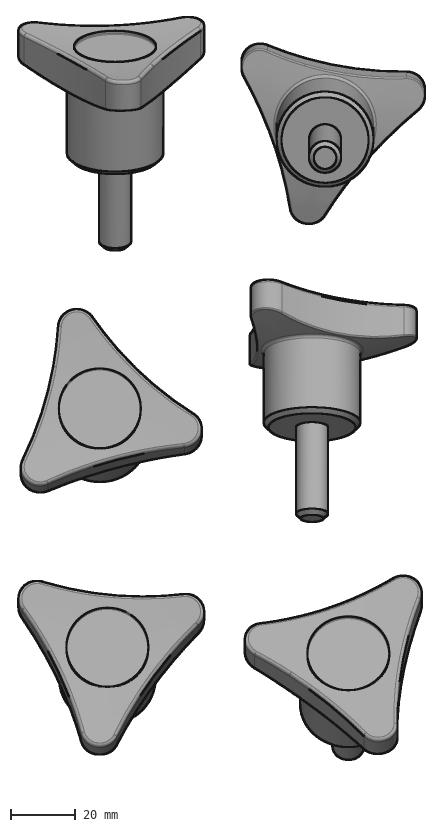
import cadquery as cq
import math

total_height = 68.7
stud_diameter = 10.0
stud_length = 29.8
stud_chamfer = 1.5

hub_diameter = 30.0
hub_chamfer = 1.5
neck_fillet = 1.0

lobe_count = 3
lobe_center_radius = 26.6
lobe_radius = 5.9
waist_distance = 17.05
tip_radius = lobe_center_radius + lobe_radius

dish_depth = 1.85
dish_tip_height = total_height + 0.15
rim_tip_height = 9.95
underside_center_height = 53.85
rim_fillet = 1.0
lower_rim_fillet = 0.55

recess_diameter = 25.4
recess_floor = 65.95
recess_edge_fillet = 0.2


def polar(radius, angle):
    """Point in the XY plane at an angle in degrees from +X."""
    return radius * math.cos(math.radians(angle)), radius * math.sin(math.radians(angle))


def cap_radius(rise, half_chord):
    """Radius of a spherical cap with the given rise and half chord."""
    return (half_chord**2 + rise**2) / (2 * rise)


def head_outline():
    """Lobes joined by concave flanks that are tangent to them."""
    half_step = 180 / lobe_count
    lobe_x = lobe_center_radius * math.sin(math.radians(half_step))
    lobe_y = lobe_center_radius * math.cos(math.radians(half_step))
    gap = waist_distance - lobe_y
    flank_radius = (lobe_x**2 + gap**2 - lobe_radius**2) / (2 * (lobe_radius - gap))
    flank_distance = waist_distance + flank_radius
    lean = math.degrees(math.atan2(lobe_x, flank_distance - lobe_y))
    touch_x = lobe_x - lobe_radius * math.sin(math.radians(lean))
    touch_y = lobe_y + lobe_radius * math.cos(math.radians(lean))
    touch_radius = math.hypot(touch_x, touch_y)
    touch_angle = math.degrees(math.atan2(touch_x, touch_y))

    first_bisector = 90 - half_step
    outline = cq.Workplane("XY").moveTo(*polar(touch_radius, first_bisector - touch_angle))
    for index in range(lobe_count):
        bisector = first_bisector + 2 * half_step * index
        flank_end = polar(touch_radius, bisector + touch_angle)
        next_flank_start = polar(touch_radius, bisector + 2 * half_step - touch_angle)
        outline = outline.threePointArc(polar(waist_distance, bisector), flank_end)
        outline = outline.threePointArc(polar(tip_radius, bisector + half_step), next_flank_start)
    return outline.close()


def make_head():
    """Lobed prism trimmed by a dished upper face and a bulged lower face."""
    dish_radius = cap_radius(dish_depth, tip_radius)
    dish = cq.Workplane("XY").sphere(dish_radius)
    dish = dish.translate((0, 0, dish_tip_height - dish_depth + dish_radius))
    bulge_rise = dish_tip_height - rim_tip_height - underside_center_height
    bulge_radius = cap_radius(bulge_rise, tip_radius)
    bulge = cq.Workplane("XY").sphere(bulge_radius)
    bulge = bulge.translate((0, 0, underside_center_height + bulge_radius))

    bulge_zone = cq.selectors.BoxSelector(
        (-tip_radius, -tip_radius, underside_center_height),
        (tip_radius, tip_radius, underside_center_height + bulge_rise + lower_rim_fillet),
        boundingbox=True,
    )

    prism = head_outline().extrude(dish_tip_height)
    head = prism.intersect(bulge).cut(dish)
    head = head.faces(">Z").edges().fillet(rim_fillet)
    return head.edges(bulge_zone).fillet(lower_rim_fillet)


def make_hub():
    hub = cq.Workplane("XY").workplane(offset=stud_length)
    hub = hub.circle(hub_diameter / 2).extrude(recess_floor - stud_length)
    return hub.faces("<Z").chamfer(hub_chamfer)


def make_stud():
    stud = cq.Workplane("XY").circle(stud_diameter / 2).extrude(stud_length)
    return stud.faces("<Z").chamfer(stud_chamfer)


def cut_recess(body):
    """Round pocket with a rounded mouth and a rounded floor corner."""
    pocket = cq.Workplane("XY").workplane(offset=recess_floor)
    pocket = pocket.circle(recess_diameter / 2).extrude(total_height - recess_floor)
    pocket_zone = cq.selectors.BoxSelector(
        (-recess_diameter, -recess_diameter, recess_floor - recess_edge_fillet),
        (recess_diameter, recess_diameter, total_height),
        boundingbox=True,
    )
    recess_edges = body.cut(pocket).edges(pocket_zone).edges("%CIRCLE")
    recess_edges = recess_edges.edges(cq.selectors.RadiusNthSelector(0))
    return recess_edges.fillet(recess_edge_fillet)


def round_neck(body):
    """Fillet the circle where the hub meets the underside of the head."""
    neck_zone = cq.selectors.BoxSelector(
        (-hub_diameter, -hub_diameter, underside_center_height),
        (hub_diameter, hub_diameter, recess_floor),
        boundingbox=True,
    )
    return body.edges(neck_zone).edges("%CIRCLE").fillet(neck_fillet)


result = cut_recess(round_neck(make_head().union(make_hub())).union(make_stud()))